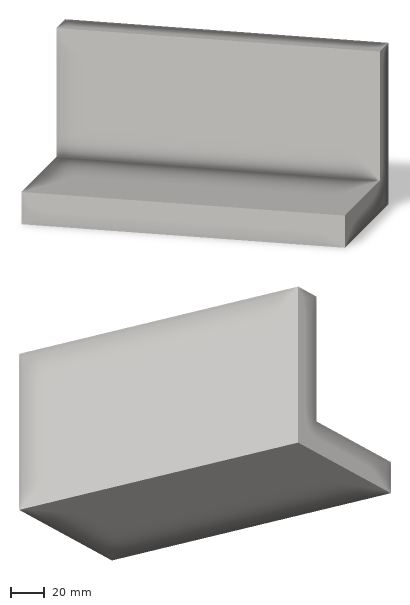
import cadquery as cq

length = 200.0
leg = 100.0
thickness = 20.0

base = cq.Workplane("XY").box(length, leg, thickness, centered=(True, True, False))

wall = (
    cq.Workplane("XY")
    .box(length, thickness, leg, centered=(True, True, False))
    .translate((0, (leg - thickness) / 2, 0))
)

result = base.union(wall)